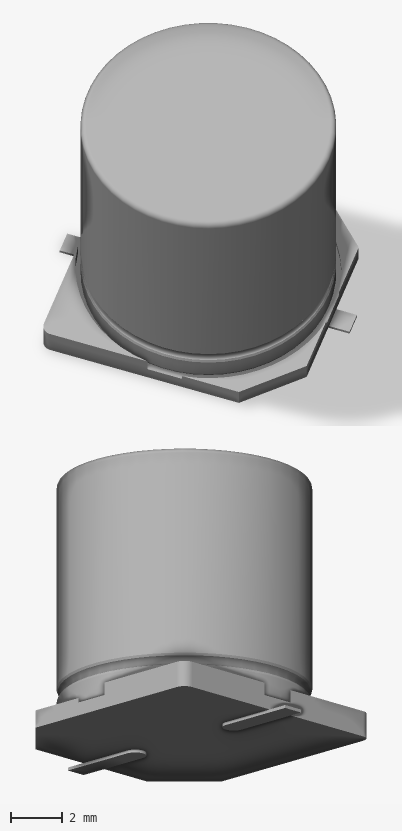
import cadquery as cq
import math

total_length = 12.0
total_height = 10.5

lead_thickness = 0.12
lead_width = 0.88
lead_length = 3.72

base_side = 10.3
base_top = 1.15
low_land_top = 0.83
corner_radius = 0.41
corner_chamfer = 2.08
notch_half_width = 0.72
pocket_floor = 0.65

can_radius = 10.0 / 2
can_edge_radius = 0.2
can_foot_radius = 0.18
groove_middle = 1.85
groove_half_height = 0.28
groove_depth = 0.18
shoulder_depth = 0.05
shoulder_height = 0.1

pocket_radius = math.hypot(base_side / 2, notch_half_width)


def make_base():
    base = (
        cq.Workplane("XY")
        .workplane(offset=lead_thickness)
        .rect(base_side, base_side)
        .extrude(base_top - lead_thickness)
    )
    base = base.edges("|Z and <X").fillet(corner_radius)
    base = base.edges("|Z and >X").chamfer(corner_chamfer)

    lowering = (
        cq.Workplane("XY")
        .workplane(offset=low_land_top)
        .center(-notch_half_width, 0)
        .rect(total_length, total_length)
        .extrude(base_top)
        .translate((total_length / 2, 0, 0))
    )
    pocket = cq.Workplane("XY").workplane(offset=pocket_floor).circle(pocket_radius).extrude(base_top)
    return base.cut(lowering).cut(pocket)


def make_can():
    groove_bottom = groove_middle - groove_half_height
    groove_top = groove_middle + groove_half_height
    throat_radius = can_radius - groove_depth
    shoulder_radius = can_radius - shoulder_depth
    foot_rise = can_foot_radius * (1 - math.sqrt(0.5))
    edge_inset = can_edge_radius * (1 - math.sqrt(0.5))
    profile = (
        cq.Workplane("XZ")
        .moveTo(0, pocket_floor)
        .lineTo(can_radius - can_foot_radius, pocket_floor)
        .threePointArc(
            (can_radius - foot_rise, pocket_floor + foot_rise),
            (can_radius, pocket_floor + can_foot_radius),
        )
        .lineTo(can_radius, groove_bottom)
        .lineTo(shoulder_radius, groove_bottom + shoulder_height)
        .threePointArc((throat_radius, groove_middle), (shoulder_radius, groove_top - shoulder_height))
        .lineTo(can_radius, groove_top)
        .lineTo(can_radius, total_height - can_edge_radius)
        .threePointArc(
            (can_radius - edge_inset, total_height - edge_inset),
            (can_radius - can_edge_radius, total_height),
        )
        .lineTo(0, total_height)
        .close()
    )
    return profile.revolve(360, (0, 0, 0), (0, 1, 0))


def make_lead(side):
    outer_x = side * total_length / 2
    straight_end_x = side * (total_length / 2 - lead_length + lead_width / 2)
    tip_x = side * (total_length / 2 - lead_length)
    return (
        cq.Workplane("XY")
        .moveTo(outer_x, -lead_width / 2)
        .lineTo(straight_end_x, -lead_width / 2)
        .threePointArc((tip_x, 0), (straight_end_x, lead_width / 2))
        .lineTo(outer_x, lead_width / 2)
        .close()
        .extrude(lead_thickness)
    )


result = make_base().union(make_can())
for side in (-1, 1):
    result = result.union(make_lead(side))